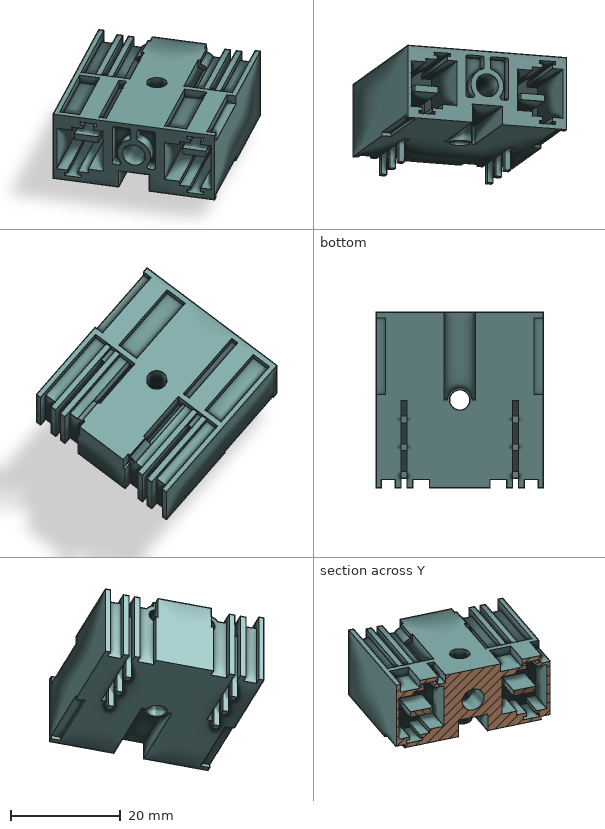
import cadquery as cq
import math

WIDTH = 30.45
LENGTH = 32.0
HEIGHT = 13.5
HALF_WIDTH = WIDTH / 2

WALL = 1.05
WALL_BACK = 16.05
WALL_FRONT = WALL_BACK - WALL

CONTACT_X = 10.18
SOCKET_INNER_X = 5.8
SOCKET_OUTER_X = 14.55
SOCKET_TOP_HIGH = 11.25
SOCKET_TOP_LOW = 10.62
SOCKET_BOTTOM_HIGH = 2.9
SOCKET_BOTTOM_LOW = 2.1
LEFT_TOP_STEP_X = -11.78
BOTTOM_STEP_X = 8.65

TSLOT_NECK = 2.0
TSLOT_CAP = 3.07
TSLOT_LIP = 0.55
TSLOT_TOP = 12.58
TSLOT_BOTTOM_LEFT = 0.93
TSLOT_BOTTOM_RIGHT = 0.8
TSLOT_OUTER_X = 11.55
TSLOT_LEFT_TOP_X = -8.65

POCKET_DEPTH = 1.63
POCKET_FLOOR = HEIGHT - POCKET_DEPTH
POCKET_SIDE_X = 14.27
POCKET_INNER_X = 5.5
LEFT_POCKET_WIDTH = 3.75
LEFT_NARROW_POCKET_WIDTH = 1.35
RIGHT_POCKET_WIDTH = 4.15
OPEN_POCKET_X = 13.5
UNDERSIDE_POCKET_DEPTH = 0.67

BORE_Z = 7.17
BORE_RADIUS = 2.1
BORE_TUBE_RADIUS = 3.15
SIDE_SLOT_INNER_X = 0.6
SIDE_SLOT_OUTER_X = 4.05
SIDE_SLOT_BOTTOM = 4.65
SIDE_SLOT_TOP = 12.58
SIDE_SLOT_DEPTH = 2.4
SIDE_SLOT_FILLET = 0.45

MOUNT_Y = LENGTH / 2
MOUNT_RADIUS = 1.82
MOUNT_TUBE_RADIUS = 2.2
NOTCH_WIDTH = 5.75
NOTCH_HEIGHT = 3.42
NOTCH_FILLET = 0.3

CHAMBER_INNER_X = 5.12
FLOOR_END = 30.53
FIN_THICKNESS = 1.1
FIN_TOP = 12.95
BLADE_THICKNESS = 1.05

RAMP_START = 26.0
RAMP_TOP_X = 5.55
RAMP_FOOT_X = 6.8
RAMP_RADIUS = 2.08
CHANNEL_RADIUS = 1.2
LATCH_Z = POCKET_FLOOR - math.sqrt(RAMP_RADIUS**2 - (RAMP_FOOT_X - CHAMBER_INNER_X) ** 2)

TONGUE_WIDTH = 4.45
TONGUE_THICKNESS = 1.2
TONGUE_LENGTH = 10.55
SHOULDER_WIDTH = 6.15
SHOULDER_HEIGHT = 3.33
CONTACT_Z = 6.72
BLADE_END = 30.27
HEAD_END = 18.85
TAIL_START = 28.3
HEAD_TOP = 12.13
SADDLE_TOP = CONTACT_Z + SHOULDER_HEIGHT / 2
TAIL_TOP = 9.6
LEG_LENGTH = 3.6
LEG_SIZE = 1.2
LEG_PITCH = 5.05
LEG_COUNT = 3


def block(x0, x1, y0, y1, z0, z1):
    return cq.Workplane("XY").box(x1 - x0, y1 - y0, z1 - z0, centered=False).translate((x0, y0, z0))


def extrude_along_y(sketch, y0, y1):
    """Extrude a profile drawn on the XZ plane from y0 to y1."""
    return sketch.extrude(-(y1 - y0)).translate((0, y0, 0))


def t_slot(x, socket_face, cap_face):
    """T-slot running from a socket roof or floor out to its wide cap."""
    neck_z = sorted((CONTACT_Z, cap_face))
    lip_face = cap_face - math.copysign(TSLOT_LIP, cap_face - socket_face)
    cap_z = sorted((lip_face, cap_face))
    neck = block(x - TSLOT_NECK / 2, x + TSLOT_NECK / 2, 0, WALL_FRONT, *neck_z)
    cap = block(x - TSLOT_CAP / 2, x + TSLOT_CAP / 2, 0, WALL_FRONT, *cap_z)
    return neck.union(cap)


def left_socket():
    lower = block(-SOCKET_OUTER_X, -BOTTOM_STEP_X, 0, WALL_FRONT, SOCKET_BOTTOM_LOW, SOCKET_TOP_LOW)
    upper = block(LEFT_TOP_STEP_X, -SOCKET_INNER_X, 0, WALL_FRONT, SOCKET_BOTTOM_HIGH, SOCKET_TOP_HIGH)
    socket = lower.union(upper)
    socket = socket.union(t_slot(TSLOT_LEFT_TOP_X, SOCKET_TOP_HIGH, TSLOT_TOP))
    return socket.union(t_slot(-TSLOT_OUTER_X, SOCKET_BOTTOM_LOW, TSLOT_BOTTOM_LEFT))


def right_socket():
    inner = block(SOCKET_INNER_X, BOTTOM_STEP_X, 0, WALL_FRONT, SOCKET_BOTTOM_HIGH, SOCKET_TOP_LOW)
    outer = block(BOTTOM_STEP_X, SOCKET_OUTER_X, 0, WALL_FRONT, SOCKET_BOTTOM_LOW, SOCKET_TOP_HIGH)
    socket = inner.union(outer)
    socket = socket.union(t_slot(TSLOT_OUTER_X, SOCKET_TOP_HIGH, TSLOT_TOP))
    return socket.union(t_slot(TSLOT_OUTER_X, SOCKET_BOTTOM_LOW, TSLOT_BOTTOM_RIGHT))


def pockets():
    """Recesses beside the T-slots, on the top face and on the lower side edges."""
    top_spans = [
        (-POCKET_SIDE_X, LEFT_POCKET_WIDTH - POCKET_SIDE_X),
        (-POCKET_INNER_X - LEFT_NARROW_POCKET_WIDTH, -POCKET_INNER_X),
        (POCKET_INNER_X, POCKET_INNER_X + RIGHT_POCKET_WIDTH),
        (OPEN_POCKET_X, HALF_WIDTH),
    ]
    edge_spans = [(-HALF_WIDTH, -OPEN_POCKET_X), (OPEN_POCKET_X, HALF_WIDTH)]
    cut = cq.Workplane("XY")
    for x0, x1 in top_spans:
        cut = cut.union(block(x0, x1, WALL, WALL_FRONT, POCKET_FLOOR, HEIGHT))
    for x0, x1 in edge_spans:
        cut = cut.union(block(x0, x1, WALL, WALL_FRONT, 0, UNDERSIDE_POCKET_DEPTH))
    return cut


def side_slot():
    """Rounded slot to the right of the screw tube, wrapped around it."""
    slot = block(
        SIDE_SLOT_INNER_X, SIDE_SLOT_OUTER_X, 0, SIDE_SLOT_DEPTH, SIDE_SLOT_BOTTOM, SIDE_SLOT_TOP
    )
    tube = cq.Workplane("XZ").center(0, BORE_Z).circle(BORE_TUBE_RADIUS)
    return slot.cut(extrude_along_y(tube, 0, SIDE_SLOT_DEPTH)).edges("|Y").fillet(SIDE_SLOT_FILLET)


def mount_tube():
    return cq.Workplane("XY").center(0, MOUNT_Y).circle(MOUNT_TUBE_RADIUS).extrude(HEIGHT)


def screw_bore():
    bore = cq.Workplane("XZ").center(0, BORE_Z).circle(BORE_RADIUS)
    return extrude_along_y(bore, 0, MOUNT_Y).cut(mount_tube())


def front_notch():
    """Notch under the bore that ends at the mounting tube, filleted where tube and wall meet."""
    notch = block(-NOTCH_WIDTH / 2, NOTCH_WIDTH / 2, 0, MOUNT_Y, 0, NOTCH_HEIGHT).cut(mount_tube())
    for side in (-1, 1):
        corner = (side * MOUNT_TUBE_RADIUS, MOUNT_Y, NOTCH_HEIGHT / 2)
        notch = notch.edges(cq.selectors.NearestToPointSelector(corner)).fillet(NOTCH_FILLET)
    return notch


def latch_channel():
    """Half-round channel along the middle block, open to the chamber in front of the ramp."""
    channel = cq.Workplane("XZ").center(CHAMBER_INNER_X, LATCH_Z).circle(CHANNEL_RADIUS)
    channel = extrude_along_y(channel, WALL_BACK, FLOOR_END)
    channel = channel.intersect(block(CHAMBER_INNER_X, RAMP_FOOT_X, WALL_BACK, FLOOR_END, 0, HEIGHT))
    share = CHANNEL_RADIUS / RAMP_RADIUS
    lip_x = CHAMBER_INNER_X + share * (RAMP_FOOT_X - CHAMBER_INNER_X)
    lip_z = LATCH_Z + share * (POCKET_FLOOR - LATCH_Z)
    opening = (
        cq.Workplane("XZ")
        .moveTo(RAMP_FOOT_X, POCKET_FLOOR)
        .lineTo(lip_x, lip_z)
        .lineTo(CHAMBER_INNER_X, lip_z)
        .lineTo(CHAMBER_INNER_X, POCKET_FLOOR)
        .close()
    )
    ledge_z = LATCH_Z - CHANNEL_RADIUS
    ledge = block(CHAMBER_INNER_X, RAMP_TOP_X, FLOOR_END, LENGTH, ledge_z, POCKET_FLOOR)
    return channel.union(extrude_along_y(opening, WALL_BACK, RAMP_START)).union(ledge)


def latch_ramp():
    """Convex ramp, concentric with the channel, rising from the floor to the middle block."""
    top_z = LATCH_Z + math.sqrt(RAMP_RADIUS**2 - (RAMP_TOP_X - CHAMBER_INNER_X) ** 2)
    profile = (
        cq.Workplane("XZ")
        .moveTo(RAMP_FOOT_X, POCKET_FLOOR)
        .radiusArc((RAMP_TOP_X, top_z), -RAMP_RADIUS)
        .lineTo(RAMP_TOP_X, HEIGHT)
        .lineTo(CHAMBER_INNER_X, HEIGHT)
        .lineTo(CHAMBER_INNER_X, POCKET_FLOOR)
        .close()
    )
    return extrude_along_y(profile, RAMP_START, FLOOR_END)


def rear_chamber():
    """Space cut from the right rear: open chamber, rear recess and blade slot around two fins."""
    chamber = block(CHAMBER_INNER_X, POCKET_SIDE_X, WALL_BACK, LENGTH, POCKET_FLOOR, HEIGHT)
    recess = block(RAMP_TOP_X, POCKET_SIDE_X, FLOOR_END, LENGTH, 0, HEIGHT)
    fin_reach = BLADE_THICKNESS / 2 + FIN_THICKNESS
    fins = block(CONTACT_X - fin_reach, CONTACT_X + fin_reach, WALL_BACK, LENGTH, 0, FIN_TOP)
    blade_slot = block(
        CONTACT_X - BLADE_THICKNESS / 2, CONTACT_X + BLADE_THICKNESS / 2, WALL_BACK, LENGTH, 0, HEIGHT
    )
    space = chamber.union(recess).cut(latch_ramp()).cut(fins)
    return space.union(latch_channel()).union(blade_slot)


def shoulder(x):
    """Contact shoulder, which is also the window it fills in the cross wall."""
    return block(
        x - SHOULDER_WIDTH / 2,
        x + SHOULDER_WIDTH / 2,
        WALL_FRONT,
        WALL_BACK,
        CONTACT_Z - SHOULDER_HEIGHT / 2,
        CONTACT_Z + SHOULDER_HEIGHT / 2,
    )


def make_housing():
    body = block(-HALF_WIDTH, HALF_WIDTH, 0, LENGTH, 0, HEIGHT)
    body = body.cut(left_socket()).cut(right_socket()).cut(pockets())
    body = body.cut(side_slot()).cut(side_slot().mirror("YZ"))
    body = body.cut(screw_bore()).cut(front_notch())
    body = body.cut(cq.Workplane("XY").center(0, MOUNT_Y).circle(MOUNT_RADIUS).extrude(HEIGHT))
    body = body.cut(rear_chamber()).cut(rear_chamber().mirror("YZ"))
    for x in (-CONTACT_X, CONTACT_X):
        body = body.cut(shoulder(x))
    return body


def make_contact(x):
    """Flat tongue in the socket, shoulder in the wall, and a blade with three legs behind."""
    tongue = block(
        x - TONGUE_WIDTH / 2,
        x + TONGUE_WIDTH / 2,
        WALL_FRONT - TONGUE_LENGTH,
        WALL_FRONT,
        CONTACT_Z - TONGUE_THICKNESS / 2,
        CONTACT_Z + TONGUE_THICKNESS / 2,
    )
    contact = tongue.union(shoulder(x))
    x0 = x - BLADE_THICKNESS / 2
    x1 = x + BLADE_THICKNESS / 2
    blade_bottom = CONTACT_Z - SHOULDER_HEIGHT / 2
    contact = contact.union(block(x0, x1, WALL_BACK, HEAD_END, blade_bottom, HEAD_TOP))
    contact = contact.union(block(x0, x1, HEAD_END, TAIL_START, blade_bottom, SADDLE_TOP))
    contact = contact.union(block(x0, x1, TAIL_START, BLADE_END, blade_bottom, TAIL_TOP))
    for index in range(LEG_COUNT):
        leg_end = BLADE_END - index * LEG_PITCH
        contact = contact.union(block(x0, x1, leg_end - LEG_SIZE, leg_end, -LEG_LENGTH, blade_bottom))
    return contact


housing = make_housing()
contacts = [make_contact(x) for x in (-CONTACT_X, CONTACT_X)]

result = cq.Compound.makeCompound([housing.solids().val(), *[contact.solids().val() for contact in contacts]])